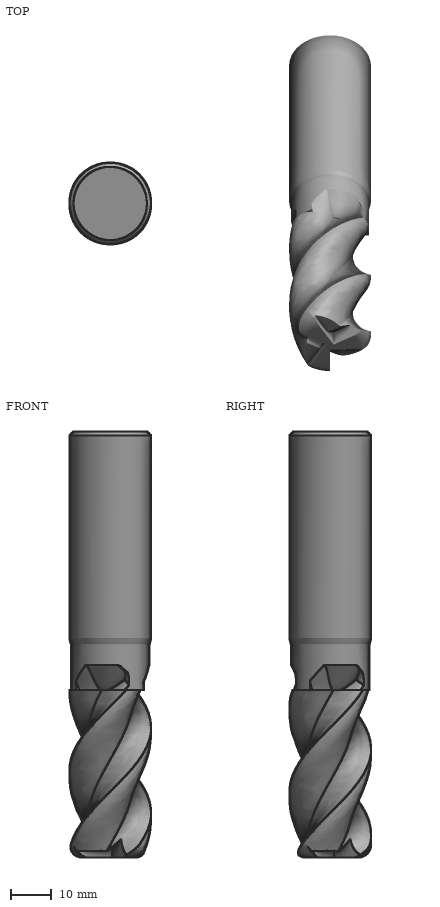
import cadquery as cq
import math

total_length = 104.0
tool_radius = 10.0
end_chamfer = 1.0

neck_radius = 9.6
neck_top = 52.0
shank_bottom = 53.5
runout_top = 47.0

tooth_count = 3
cutter_length = 40.9
helix_lead = 62.4
first_edge_angle = 57.0
land_angle = 9.0
back_angle = 28.0
back_radius = 9.3
heel_angle = 45.0
heel_radius = 7.8
root_angle = 75.0
root_radius = 5.6
rake_mid_angle = 101.0
rake_mid_radius = 6.2
rake_lip_angle = 115.0
rake_lip_radius = 8.4

runout_core_radius = 5.8
runout_width = 13.5
runout_corner_radius = 3.6
runout_edge_angle = 6.0

corner_radius = 3.3
gash_height = 4.5
gash_step_height = 1.7
gash_slope_width = 3.1
gash_width = 10.4
gash_inner_offset = 1.0

tooth_pitch = 360.0 / tooth_count
tooth_angles = [first_edge_angle + i * tooth_pitch for i in range(tooth_count)]


def polar(radius, angle):
    a = math.radians(angle)
    return (radius * math.cos(a), radius * math.sin(a))


def twist_over(height):
    return 360.0 * height / helix_lead


def fluted_bar(bottom, top):
    """Helical bar with relieved teeth, twisted right-handed between two heights."""
    start = tooth_angles[0] + twist_over(bottom)
    section = cq.Workplane("XY").workplane(offset=bottom).moveTo(*polar(tool_radius, start))
    for i in range(tooth_count):
        edge = start + i * tooth_pitch
        section = section.threePointArc(
            polar(tool_radius, edge + land_angle / 2), polar(tool_radius, edge + land_angle)
        )
        section = section.spline(
            [
                polar(back_radius, edge + back_angle),
                polar(heel_radius, edge + heel_angle),
                polar(root_radius, edge + root_angle),
            ],
            includeCurrent=True,
        )
        section = section.threePointArc(
            polar(rake_mid_radius, edge + rake_mid_angle), polar(rake_lip_radius, edge + rake_lip_angle)
        )
        section = section.lineTo(*polar(tool_radius, edge + tooth_pitch))
    height = top - bottom
    return section.close().twistExtrude(height, twist_over(height))


def tip_envelope():
    """Cylinder around the cutter with a rounded tip corner."""
    return cq.Workplane("XY").circle(tool_radius).extrude(cutter_length).faces("<Z").edges().fillet(corner_radius)


def tip_gash(edge_angle):
    """End gash ahead of one cutting edge: a wall under the edge, a slope and a low step."""
    return (
        cq.Workplane("XZ")
        .polyline([
            (0, 0),
            (0, gash_height),
            (gash_slope_width, gash_step_height),
            (gash_width, gash_step_height),
            (gash_width, 0),
        ])
        .close()
        .extrude(-tool_radius)
        .translate((0, gash_inner_offset, 0))
        .rotate((0, 0, 0), (0, 0, 1), edge_angle - 90)
    )


def make_cutter():
    cutter = fluted_bar(0, cutter_length).intersect(tip_envelope())
    for edge_angle in tooth_angles:
        cutter = cutter.cut(tip_gash(edge_angle))
    return cutter


def runout_windows():
    """Radial windows, rounded on the cutting-edge side, that limit where flutes leave the neck."""
    height = runout_top - cutter_length
    windows = cq.Workplane("XY")
    for angle in tooth_angles:
        direction = angle + twist_over(cutter_length) + runout_edge_angle
        window = (
            cq.Workplane("XZ")
            .moveTo(runout_width, 0)
            .lineTo(0, 0)
            .lineTo(0, height - runout_corner_radius)
            .radiusArc((runout_corner_radius, height), runout_corner_radius)
            .lineTo(runout_width, height)
            .close()
            .extrude(-2 * tool_radius)
            .rotate((0, 0, 0), (0, 0, 1), direction - 90)
            .translate((0, 0, cutter_length))
        )
        windows = windows.add(window)
    return windows


def flute_runouts():
    """Flute space above the cutter, ramping outward to the neck surface."""
    height = runout_top - cutter_length
    space = cq.Workplane("XY").workplane(offset=cutter_length).circle(2 * tool_radius).extrude(height)
    ramp = cq.Workplane(
        cq.Solid.makeCone(runout_core_radius, neck_radius, height, cq.Vector(0, 0, cutter_length))
    )
    return space.cut(fluted_bar(cutter_length, runout_top)).cut(ramp)


def make_shank():
    blank = (
        cq.Workplane("XZ")
        .polyline([
            (0, cutter_length),
            (neck_radius, cutter_length),
            (neck_radius, neck_top),
            (tool_radius, shank_bottom),
            (tool_radius, total_length - end_chamfer),
            (tool_radius - end_chamfer, total_length),
            (0, total_length),
        ])
        .close()
        .revolve(360, (0, 0, 0), (0, 1, 0))
    )
    runouts = flute_runouts()
    for window in runout_windows().vals():
        blank = blank.cut(runouts.intersect(window))
    return blank


shank = make_shank()
cutter = make_cutter()
result = cq.Compound.makeCompound([shank.val(), cutter.val()])